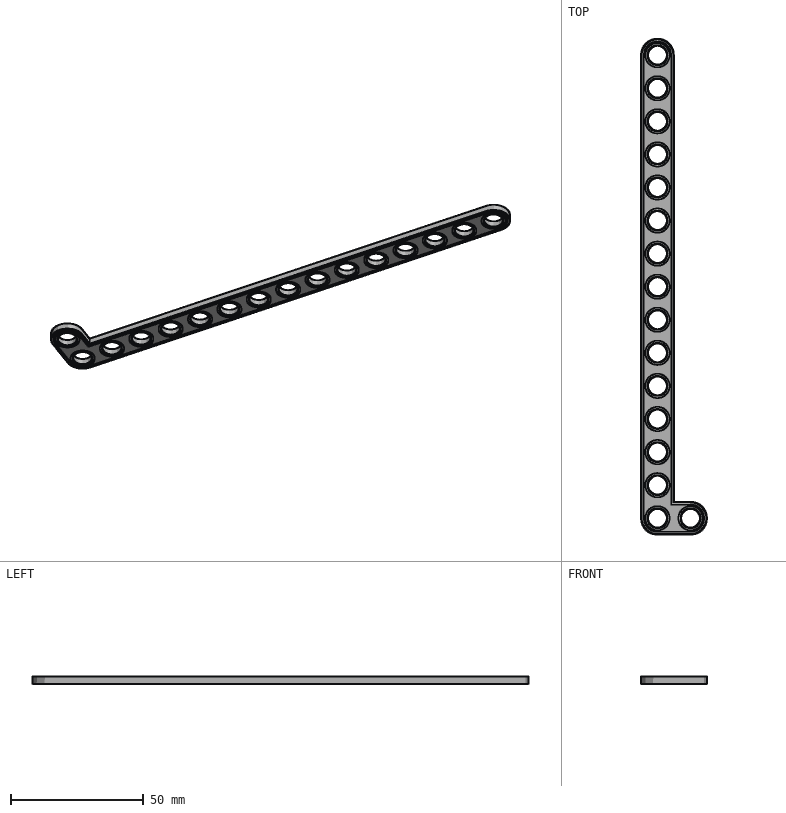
import cadquery as cq

pitch = 12.5
thickness = 3.12
long_arm_holes = 15
short_arm_holes = 2
hole_diameter = 7.0
collar_diameter = 9.2
rim_width = 1.1
recess_depth = 0.2
edge_chamfer = 0.3

arm_width = pitch
recess_width = arm_width - 2 * rim_width
long_arm_length = (long_arm_holes - 1) * pitch
short_arm_length = (short_arm_holes - 1) * pitch

hole_centers = [(0, row * pitch) for row in range(long_arm_holes)]
hole_centers += [(column * pitch, 0) for column in range(1, short_arm_holes)]


def rounded_arm(length, direction_angle, width, bottom, height):
    """Bar with round ends centred on the origin and on a point `length` away."""
    return (
        cq.Workplane("XY", origin=(0, 0, bottom))
        .transformed(rotate=(0, 0, direction_angle))
        .center(length / 2, 0)
        .slot2D(length + width, width)
        .extrude(height)
    )


def l_shape(width, bottom, height):
    """Two round-ended arms meeting at the corner hole: one along Y, one along X."""
    long_arm = rounded_arm(long_arm_length, 90, width, bottom, height)
    short_arm = rounded_arm(short_arm_length, 0, width, bottom, height)
    return long_arm.union(short_arm)


def discs(diameter, bottom, height):
    """A cylinder at every hole position."""
    return (
        cq.Workplane("XY", origin=(0, 0, bottom))
        .pushPoints(hole_centers)
        .circle(diameter / 2)
        .extrude(height)
    )


def chamfered_plate():
    """Perforated L-shaped plate with every edge of its two flat faces chamfered."""
    plate = l_shape(arm_width, 0, thickness)
    plate = plate.cut(discs(hole_diameter, 0, thickness))
    return plate.faces("<Z or >Z").edges().chamfer(edge_chamfer)


def recess(bottom):
    """Shallow pocket inside the border that leaves a ring standing around each hole."""
    pocket = l_shape(recess_width, bottom, recess_depth)
    return pocket.cut(discs(collar_diameter, bottom, recess_depth))


result = chamfered_plate()
for recess_bottom in (0, thickness - recess_depth):
    result = result.cut(recess(recess_bottom))